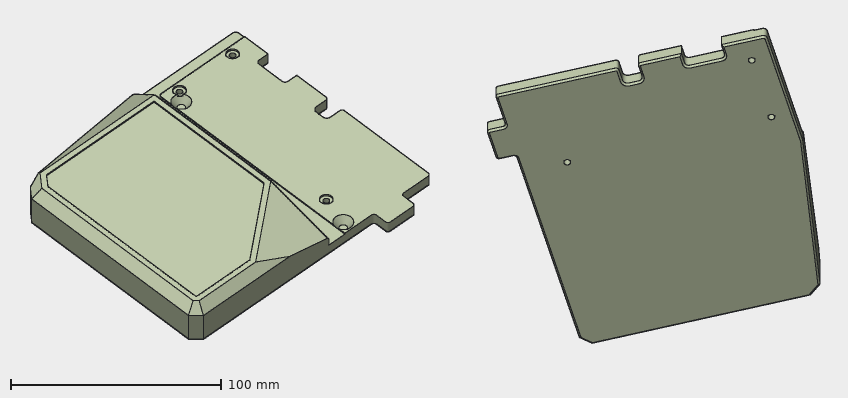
import cadquery as cq
import math

LENGTH = 154.88
OVERALL_WIDTH = 143.34
BODY_WIDTH = 133.8
HEIGHT = 22.2
RIM_HEIGHT = 6.7
PLATE_HEIGHT = 7.3
EDGE_BREAK = 1.0
BLOCK_SIDE_BREAK = 1.6

TAPER_START_Y = 89.9
FRONT_LEFT_X = 14.9
FRONT_CORNER = 5.0
FRONT_LEFT_CUT_X = 6.2
REAR_LEFT_RADIUS = 2.0
CORNER_RADIUS = 1.5
NOTCH_BOTTOM_RADIUS = 2.0
SLOT_BOTTOM_RADIUS = 2.5

NOTCH_X = (22.2, 41.9)
NOTCH_DEPTH = 7.8
SLOT_X = (63.5, 73.1)
SLOT_DEPTH = 10.3
TAB_Y = (LENGTH - 37.3, LENGTH - 19.2)

RIM_WIDTH = 6.0
PLATE_FRONT_Y = LENGTH - 56.5

BLOCK_REAR_Y = LENGTH - 67.1
BEVEL = 5.0
LEFT_SLOPE = 0.70
CORNER_SLOPE = 1 / 3
CORNER_TOP_START = (95.3, 86.3)
CORNER_TOP_END = (BODY_WIDTH - BEVEL, 44.3)
RECESS_INSET = 3.0
RECESS_DEPTH = 0.7

SCREW_DIAMETER = 3.2
SCREW_HEAD_DIAMETER = 6.5
SCREW_HEAD_DEPTH = 1.0
SCREW_POINTS = [
    (10.5, LENGTH - 12.2),
    (10.5, LENGTH - 47.2),
    (111.3, LENGTH - 47.2),
]
DIMPLE_DIAMETER = 10.0
DIMPLE_FLOOR_DIAMETER = 4.2
DIMPLE_DEPTH = 4.0
DIMPLE_POINTS = [
    (16.6, LENGTH - 51.9),
    (127.9, LENGTH - 51.9),
]

CUTTER_SIZE = 400.0
OVERLAP = 1.0
PICK_SIZE = 0.1


def box(x_range, y_range, z_range):
    size = [high - low for low, high in (x_range, y_range, z_range)]
    corner = (x_range[0], y_range[0], z_range[0])
    return cq.Workplane("XY").box(*size, centered=False).translate(corner)


def trim(body, point, normal):
    """Remove everything on the outward side of a plane."""
    plane = cq.Plane(origin=point, normal=normal)
    cutter = cq.Workplane(plane).rect(CUTTER_SIZE, CUTTER_SIZE).extrude(CUTTER_SIZE)
    return body.cut(cutter)


def round_corners(body, points, radius):
    """Round the vertical edges that stand at the given points."""
    for x, y in points:
        low = (x - PICK_SIZE, y - PICK_SIZE, 0)
        high = (x + PICK_SIZE, y + PICK_SIZE, PLATE_HEIGHT)
        upright_edge = cq.selectors.BoxSelector(low, high)
        body = body.edges(upright_edge).fillet(radius)
    return body


def body_prism(height):
    outline = [
        (FRONT_LEFT_X + FRONT_LEFT_CUT_X, 0),
        (BODY_WIDTH - FRONT_CORNER, 0),
        (BODY_WIDTH, FRONT_CORNER),
        (BODY_WIDTH, LENGTH),
        (0, LENGTH),
        (0, TAPER_START_Y),
        (FRONT_LEFT_X, FRONT_CORNER),
    ]
    return cq.Workplane("XY").polyline(outline).close().extrude(height)


def make_base():
    base = body_prism(PLATE_HEIGHT)
    full_height = (0, PLATE_HEIGHT)
    base = base.union(box((BODY_WIDTH - OVERLAP, OVERALL_WIDTH), TAB_Y, full_height))
    notch_floor = LENGTH - NOTCH_DEPTH
    slot_floor = LENGTH - SLOT_DEPTH
    base = base.cut(box(NOTCH_X, (notch_floor, LENGTH), full_height))
    base = base.cut(box(SLOT_X, (slot_floor, LENGTH), full_height))

    small_corners = [(x, LENGTH) for x in SLOT_X + (BODY_WIDTH,)]
    small_corners += [(x, y) for x in (BODY_WIDTH, OVERALL_WIDTH) for y in TAB_Y]
    base = round_corners(base, small_corners, CORNER_RADIUS)
    base = round_corners(base, [(x, notch_floor) for x in NOTCH_X], NOTCH_BOTTOM_RADIUS)
    base = round_corners(base, [(x, slot_floor) for x in SLOT_X], SLOT_BOTTOM_RADIUS)
    base = round_corners(base, [(0, LENGTH)], REAR_LEFT_RADIUS)
    return base.faces("<Z").chamfer(EDGE_BREAK)


def lower_rim(base):
    rim_z = (RIM_HEIGHT, PLATE_HEIGHT)
    pad = box((RIM_WIDTH, BODY_WIDTH + OVERLAP), (PLATE_FRONT_Y, LENGTH + OVERLAP), rim_z)
    pad = pad.edges("|Z and <X and <Y").fillet(CORNER_RADIUS)
    rim = box((-OVERLAP, BODY_WIDTH), (-OVERLAP, LENGTH + OVERLAP), rim_z).cut(pad)
    return base.cut(rim)


def make_block():
    block = body_prism(HEIGHT)
    block = block.intersect(box((0, BODY_WIDTH), (0, BLOCK_REAR_Y), (EDGE_BREAK, HEIGHT)))

    bevel_z = HEIGHT - BEVEL
    left_cut = math.hypot(FRONT_LEFT_CUT_X, FRONT_CORNER)
    front_left_normal = (-FRONT_CORNER / left_cut, -FRONT_LEFT_CUT_X / left_cut, 1)
    diagonal = math.sqrt(0.5)
    block = trim(block, (BODY_WIDTH, FRONT_CORNER, bevel_z), (1, 0, 1))
    block = trim(block, (BODY_WIDTH, FRONT_CORNER, bevel_z), (diagonal, -diagonal, 1))
    block = trim(block, (BODY_WIDTH / 2, 0, bevel_z), (0, -1, 1))
    block = trim(block, (FRONT_LEFT_X, FRONT_CORNER, bevel_z), front_left_normal)

    block = trim(block, (FRONT_LEFT_X, 0, HEIGHT), (-LEFT_SLOPE, 0, 1))
    run_x = CORNER_TOP_END[0] - CORNER_TOP_START[0]
    run_y = CORNER_TOP_START[1] - CORNER_TOP_END[1]
    run = math.hypot(run_x, run_y)
    corner_normal = (CORNER_SLOPE * run_y / run, CORNER_SLOPE * run_x / run, 1)
    block = trim(block, (*CORNER_TOP_END, HEIGHT), corner_normal)

    block = block.faces(">Y").edges("<X").chamfer(BLOCK_SIDE_BREAK)
    block = block.faces(">Y").edges("not(<Z or >X or <X)").chamfer(EDGE_BREAK)

    recess_outline = block.faces(">Z").wires().val().offset2D(-RECESS_INSET, "intersection")[0]
    recess = cq.Workplane(recess_outline).toPending().extrude(-RECESS_DEPTH)
    return block.cut(recess)


def cut_screw_holes(body):
    plate = cq.Workplane("XY", origin=(0, 0, PLATE_HEIGHT)).pushPoints(SCREW_POINTS)
    holes = plate.circle(SCREW_DIAMETER / 2).extrude(-PLATE_HEIGHT)
    heads = plate.circle(SCREW_HEAD_DIAMETER / 2).extrude(-SCREW_HEAD_DEPTH)
    return body.cut(holes).cut(heads)


def cut_dimples(body):
    for x, y in DIMPLE_POINTS:
        cone = cq.Solid.makeCone(
            DIMPLE_DIAMETER / 2,
            DIMPLE_FLOOR_DIAMETER / 2,
            DIMPLE_DEPTH,
            pnt=cq.Vector(x, y, PLATE_HEIGHT),
            dir=cq.Vector(0, 0, -1),
        )
        body = body.cut(cq.Workplane(cone))
    return body


base = lower_rim(make_base())
part = base.union(make_block())
part = cut_screw_holes(part)
result = cut_dimples(part)